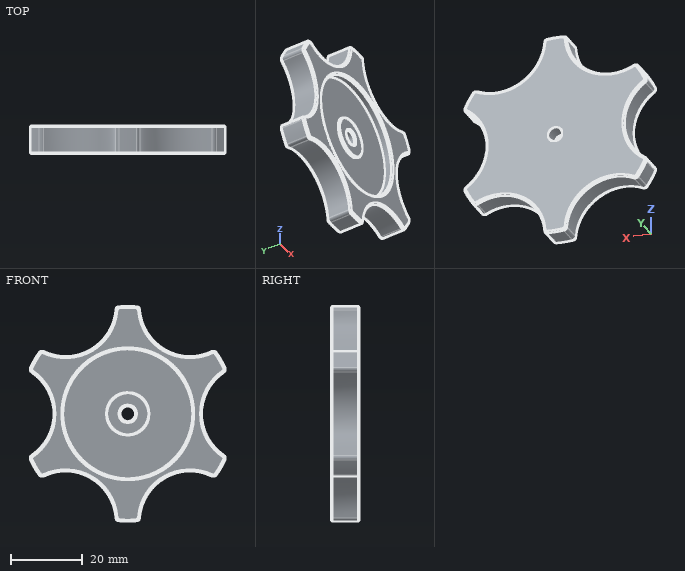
import cadquery as cq

lobe_count = 6
tip_radius = 30.0
thickness = 8.0
corner_radius = 1.0
rim_chamfer = 0.5

scallop_radius = 14.0
scallop_center_radius = 34.6

recess_radius = 18.0
recess_depth = 2.5
recess_chamfer = 0.5
boss_radius = 6.0
boss_height = 0.55
boss_chamfer = 0.25

bore_radius = 2.1
bore_chamfer = 0.4

front_y = -thickness / 2
recess_floor_y = front_y + recess_depth
boss_top_y = recess_floor_y - boss_height


def disc(radius, start_y, length):
    """Cylinder on the wheel axis, growing from start_y towards +Y."""
    return cq.Workplane("XZ", origin=(0, start_y, 0)).circle(radius).extrude(-length)


def countersink(edge_radius, mouth_y, size):
    """45 degree cone that widens a hole towards its mouth on the -Y side."""
    mouth_center = cq.Vector(0, mouth_y, 0)
    inward = cq.Vector(0, 1, 0)
    cone = cq.Solid.makeCone(edge_radius + size, edge_radius, size, mouth_center, inward)
    return cq.Workplane(cone)


def make_wheel():
    """Round blank with scallops cut between the lobes and every outline edge broken."""
    scallops = (
        cq.Workplane("XZ", origin=(0, front_y, 0))
        .polarArray(scallop_center_radius, 0, 360, lobe_count)
        .circle(scallop_radius)
        .extrude(-thickness)
    )
    wheel = disc(tip_radius, front_y, thickness).cut(scallops)
    wheel = wheel.edges("|Y").fillet(corner_radius)
    return wheel.faces("<Y or >Y").chamfer(rim_chamfer)


def make_recess():
    """Cutter for the recess, leaving the central boss standing on its floor."""
    boss = disc(boss_radius, boss_top_y, boss_height).faces("<Y").chamfer(boss_chamfer)
    recess = disc(recess_radius, front_y, recess_depth)
    return recess.union(countersink(recess_radius, front_y, recess_chamfer)).cut(boss)


def make_bore():
    """Cutter for the through bore, countersunk at the boss."""
    bore = disc(bore_radius, front_y, thickness)
    return bore.union(countersink(bore_radius, boss_top_y, bore_chamfer))


result = make_wheel().cut(make_recess()).cut(make_bore())